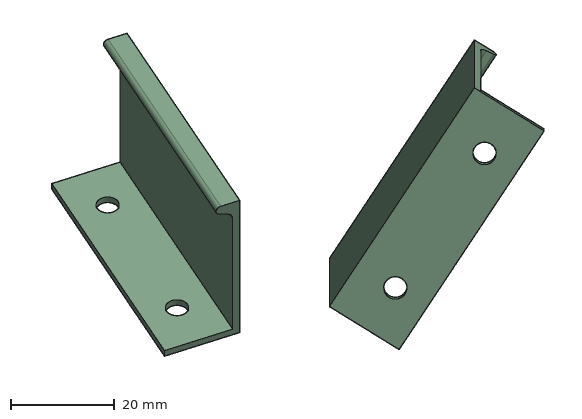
import cadquery as cq
import math

length = 52.0
depth = 16.0
height = 35.0
thickness = 1.5

lip_reach = 5.05
nose_radius = 1.0
underside_angle = math.radians(22)
lip_fillet_radius = 2.0

hole_diameter = 4.45
hole_spacing = 32.0
hole_from_back = 8.75


def nose_point(angle):
    """Point (y, z) on the lip nose, at an angle measured from straight forward."""
    center_y = -(lip_reach - nose_radius)
    center_z = height - nose_radius
    return (center_y - nose_radius * math.cos(angle), center_z + nose_radius * math.sin(angle))


def make_bracket():
    """Constant section: base flange, upright wall and lip."""
    underside_end_angle = underside_angle - math.pi / 2
    underside_start = nose_point(underside_end_angle)
    run_to_wall = -thickness - underside_start[0]
    underside_at_wall = underside_start[1] - run_to_wall * math.tan(underside_angle)

    body = (
        cq.Workplane("YZ", origin=(-length / 2, 0, 0))
        .moveTo(0, 0)
        .lineTo(0, height)
        .lineTo(*nose_point(math.pi / 2))
        .threePointArc(nose_point(0), underside_start)
        .lineTo(-thickness, underside_at_wall)
        .lineTo(-thickness, thickness)
        .lineTo(-depth, thickness)
        .lineTo(-depth, 0)
        .close()
        .extrude(length)
    )
    lip_corner = cq.selectors.NearestToPointSelector((0, -thickness, underside_at_wall))
    return body.edges(lip_corner).fillet(lip_fillet_radius)


def make_hole_cutters():
    hole_centers = [(side * hole_spacing / 2, -hole_from_back) for side in (-1, 1)]
    return (
        cq.Workplane("XY")
        .pushPoints(hole_centers)
        .circle(hole_diameter / 2)
        .extrude(thickness)
    )


result = make_bracket().cut(make_hole_cutters())